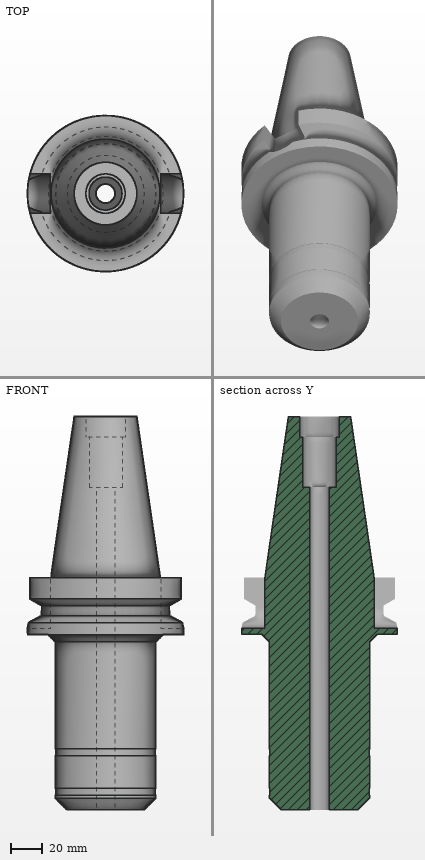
import cadquery as cq

total_length = 251.8

taper_length = 101.7
gauge_diameter = 69.7
gauge_radius = gauge_diameter / 2
small_end_radius = gauge_radius - taper_length * 7 / 24 / 2
body_bottom = taper_length - total_length

flange_diameter = 100.0
flange_radius = flange_diameter / 2
flange_top = -1.5
flange_bottom = -38.0
groove_radius = 42.8
groove_upper_edge = -15.0
groove_lower_edge = -30.2
groove_wall_height = 4.3
neck_height = 4.5

body_radius = 32.2
end_chamfer = 7.5
ring_groove_depth = 0.3
ring_groove_width = 4.5
ring_groove_heights = (9.3, 34.5)

slot_width = 25.2
slot_floor_distance = 35.3
slot_bottom = -33.7

counterbore_radius = 12.5
counterbore_depth = 13.0
thread_radius = 10.5
thread_bottom_depth = 45.3
through_radius = 6.0


def make_holder():
    """Revolve the taper, flange and body."""
    profile = [
        (0, taper_length),
        (small_end_radius, taper_length),
        (gauge_radius, 0),
        (gauge_radius, flange_top),
        (flange_radius, flange_top),
        (flange_radius, groove_upper_edge),
        (groove_radius, groove_upper_edge - groove_wall_height),
        (groove_radius, groove_lower_edge + groove_wall_height),
        (flange_radius, groove_lower_edge),
        (flange_radius, flange_bottom),
        (body_radius + neck_height, flange_bottom),
        (body_radius, flange_bottom - neck_height),
        (body_radius, body_bottom + end_chamfer),
        (body_radius - end_chamfer, body_bottom),
        (0, body_bottom),
    ]
    return cq.Workplane("XZ").polyline(profile).close().revolve(360, (0, 0), (0, 1))


def make_ring_groove(height):
    """Shallow ring to cut around the body."""
    return (
        cq.Workplane("XY", origin=(0, 0, body_bottom + height))
        .circle(flange_radius)
        .circle(body_radius - ring_groove_depth)
        .extrude(ring_groove_width)
    )


def make_drive_slot():
    """Round-bottomed slot on the +X side, open at the top and outside."""
    half_width = slot_width / 2
    arc_start = slot_bottom + half_width
    return (
        cq.Workplane("YZ", origin=(slot_floor_distance, 0, 0))
        .moveTo(-half_width, 0)
        .lineTo(-half_width, arc_start)
        .threePointArc((0, slot_bottom), (half_width, arc_start))
        .lineTo(half_width, 0)
        .close()
        .extrude(flange_radius)
    )


def make_bore(radius, depth):
    """Cylinder reaching down from the small end of the taper."""
    return cq.Workplane("XY", origin=(0, 0, taper_length)).circle(radius).extrude(-depth)


result = make_holder()

for groove_height in ring_groove_heights:
    result = result.cut(make_ring_groove(groove_height))

for slot_angle in (0, 180):
    result = result.cut(make_drive_slot().rotate((0, 0, 0), (0, 0, 1), slot_angle))

result = result.cut(make_bore(counterbore_radius, counterbore_depth))
result = result.cut(make_bore(thread_radius, thread_bottom_depth))
result = result.cut(make_bore(through_radius, total_length))